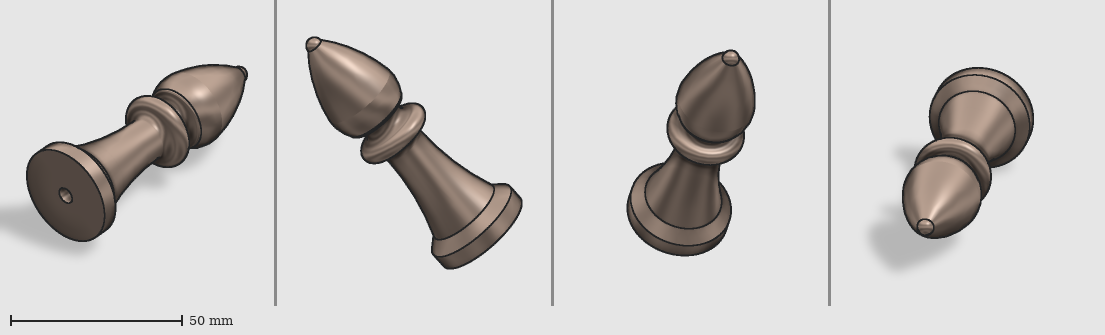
import cadquery as cq
import math

total_length = 80.0
base_radius = 30.0 / 2
base_rim_height = 5.0
bead_radius = 2.5
hole_diameter = 5.0
hole_depth = 10.0

neck_radius = 6.5
shoulder_radius = neck_radius + 2 * bead_radius
shoulder_y = base_rim_height + base_radius - shoulder_radius
stem_top_y = 36.2

cove_edge_radius = neck_radius + bead_radius
collar_bottom_y = stem_top_y + bead_radius
collar_mid_y = collar_bottom_y + bead_radius
collar_top_y = collar_mid_y + bead_radius
collar_radius = shoulder_radius
neck_mid_y = collar_top_y + bead_radius
head_bottom_y = neck_mid_y + bead_radius

lip_rounding = 0.8
head_lip_radius = cove_edge_radius + lip_rounding
head_lip_y = head_bottom_y + lip_rounding
head_belly_radius = 11.4
head_belly_y = 53.3
head_seam_radius = shoulder_radius
head_seam_y = 56.8
head_upper_radius = 8.4
head_upper_y = 67.4
tip_y = total_length - bead_radius


def circle_point(center_radius, center_y, radius, angle_degrees):
    """Point (radial distance, Y) on a circle of the profile."""
    angle = math.radians(angle_degrees)
    return (center_radius + radius * math.cos(angle), center_y + radius * math.sin(angle))


def stem_mid_point():
    """Middle of the flare arc, which is parallel to the axis at its top."""
    rise = stem_top_y - shoulder_y
    spread = shoulder_radius - neck_radius
    flare_radius = (rise**2 + spread**2) / (2 * spread)
    half_angle = math.degrees(math.asin(rise / flare_radius)) / 2
    return circle_point(neck_radius + flare_radius, stem_top_y, flare_radius, 180 + half_angle)


def make_body():
    """Revolve the half outline, drawn from the foot up to the tip."""
    lip_mid_point = circle_point(cove_edge_radius, head_lip_y, lip_rounding, -45)
    profile = (
        cq.Workplane("XY")
        .lineTo(base_radius, 0)
        .lineTo(base_radius, base_rim_height)
        .lineTo(shoulder_radius, shoulder_y)
        .threePointArc(stem_mid_point(), (neck_radius, stem_top_y))
        .threePointArc(
            circle_point(cove_edge_radius, stem_top_y, bead_radius, 135),
            (cove_edge_radius, collar_bottom_y),
        )
        .threePointArc((collar_radius, collar_mid_y), (cove_edge_radius, collar_top_y))
        .threePointArc((neck_radius, neck_mid_y), (cove_edge_radius, head_bottom_y))
        .threePointArc(lip_mid_point, (head_lip_radius, head_lip_y))
        .threePointArc((head_belly_radius, head_belly_y), (head_seam_radius, head_seam_y))
        .threePointArc((head_upper_radius, head_upper_y), (bead_radius, tip_y))
        .threePointArc(circle_point(0, tip_y, bead_radius, 45), (0, total_length))
        .close()
    )
    return profile.revolve(360, (0, 0, 0), (0, 1, 0))


def make_foot_hole():
    """Blind round hole entering the foot along +Y."""
    return cq.Workplane("XZ").circle(hole_diameter / 2).extrude(-hole_depth)


result = make_body().cut(make_foot_hole())